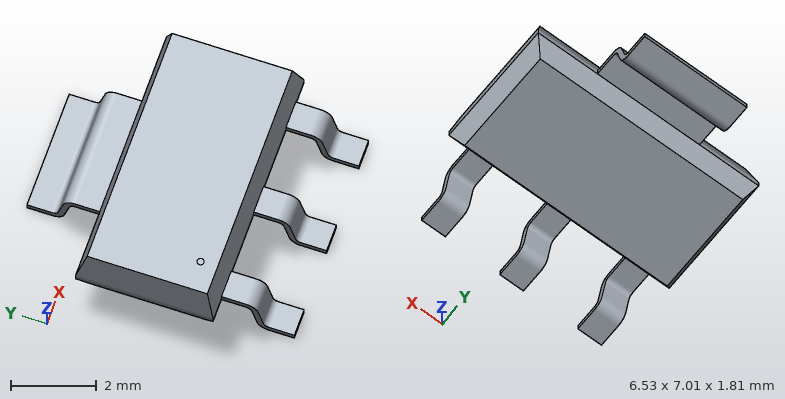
import cadquery as cq
import math

body_length = 6.53
body_width = 3.41
total_height = 1.81
body_bottom = 0.25
top_inset = 0.22
bottom_inset = 0.265

total_span = 7.01
strip_thickness = 0.16
strip_bottom = 0.87
lead_width = 0.7
lead_pitch = 2.31
tab_width = 3.03
foot_length = 0.625
inner_bend_radius = 0.15
leg_tilt = math.radians(14)

mark_diameter = 0.17
mark_depth = 0.035
mark_x = -lead_pitch
mark_y = -1.065

strip_top = strip_bottom + strip_thickness
outer_bend_radius = inner_bend_radius + strip_thickness
wall_y = body_width / 2
tip_y = total_span / 2


def tapered_block(start_z, height, inset):
    """Rectangular frustum from the full housing outline, shrinking by inset over a signed height."""
    return (
        cq.Workplane("XY", origin=(0, 0, start_z))
        .rect(body_length, body_width)
        .workplane(offset=height)
        .rect(body_length - 2 * inset, body_width - 2 * inset)
        .loft(ruled=True)
    )


def make_mark():
    """Flush disc set into the top face."""
    return (
        cq.Workplane("XY", origin=(mark_x, mark_y, total_height - mark_depth))
        .circle(mark_diameter / 2)
        .extrude(mark_depth)
    )


def make_housing():
    """Straight band as high as the lead strip, with tapers above and below and the mark recess."""
    band = cq.Workplane("XY", origin=(0, 0, strip_bottom)).rect(body_length, body_width).extrude(strip_thickness)
    upper = tapered_block(strip_top, total_height - strip_top, top_inset)
    lower = tapered_block(strip_bottom, body_bottom - strip_bottom, bottom_inset)
    return band.union(upper).union(lower).cut(make_mark())


def make_strip(width, center_x):
    """Gull-wing strip from the +Y housing wall down to its foot."""
    leg_drop = strip_bottom - (inner_bend_radius + outer_bend_radius) * (1 - math.sin(leg_tilt))
    bend_run = (inner_bend_radius + outer_bend_radius) * math.cos(leg_tilt)
    foot_y = tip_y - foot_length
    shoulder_y = foot_y - bend_run - leg_drop * math.tan(leg_tilt)
    upper_center = (shoulder_y, strip_bottom - inner_bend_radius)
    lower_center = (foot_y, outer_bend_radius)

    def bend_point(center, radius, angle):
        return (center[0] + radius * math.cos(angle), center[1] + radius * math.sin(angle))

    mid_angle = (leg_tilt + math.pi / 2) / 2

    def upper_bend(radius, angle):
        return bend_point(upper_center, radius, angle)

    def lower_bend(radius, angle):
        return bend_point(lower_center, radius, angle + math.pi)

    return (
        cq.Workplane("YZ", origin=(center_x - width / 2, 0, 0))
        .moveTo(wall_y, strip_top)
        .lineTo(shoulder_y, strip_top)
        .threePointArc(upper_bend(outer_bend_radius, mid_angle), upper_bend(outer_bend_radius, leg_tilt))
        .lineTo(*lower_bend(inner_bend_radius, leg_tilt))
        .threePointArc(lower_bend(inner_bend_radius, mid_angle), (foot_y, strip_thickness))
        .lineTo(tip_y, strip_thickness)
        .lineTo(tip_y, 0)
        .lineTo(foot_y, 0)
        .threePointArc(lower_bend(outer_bend_radius, mid_angle), lower_bend(outer_bend_radius, leg_tilt))
        .lineTo(*upper_bend(inner_bend_radius, leg_tilt))
        .threePointArc(upper_bend(inner_bend_radius, mid_angle), (shoulder_y, strip_bottom))
        .lineTo(wall_y, strip_bottom)
        .close()
        .extrude(width)
    )


def make_lead(center_x):
    """Narrow strip on the -Y side."""
    return make_strip(lead_width, center_x).mirror("XZ")


housing = make_housing()
mark = make_mark()
tab = make_strip(tab_width, 0)
leads = [make_lead(step * lead_pitch) for step in (-1, 0, 1)]

result = cq.Compound.makeCompound(
    [housing.val(), mark.val(), tab.val(), *[lead.val() for lead in leads]]
)